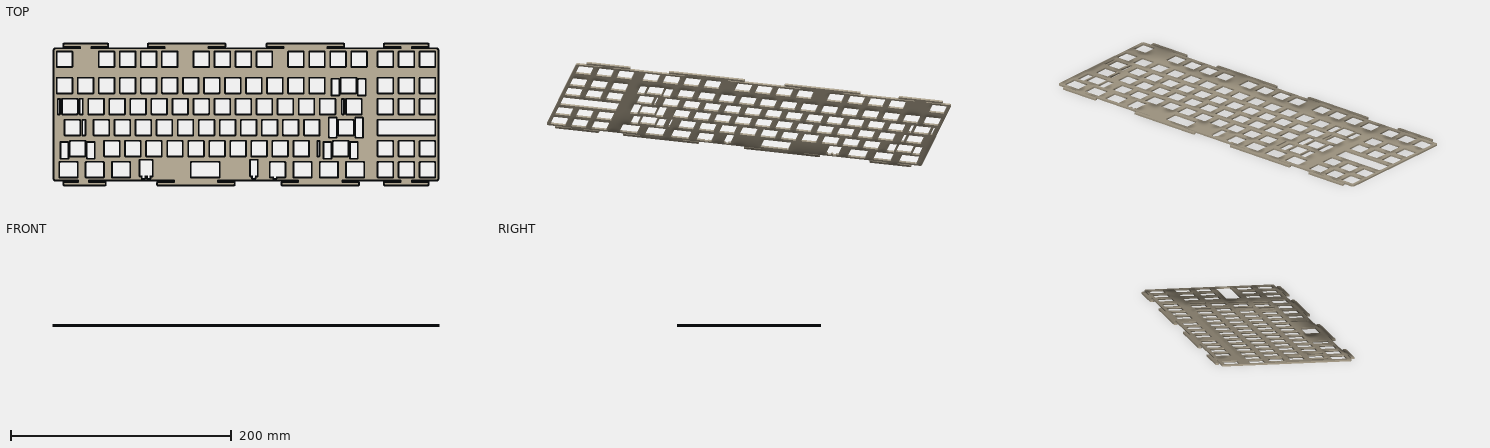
import cadquery as cq


key_unit = 19.05
plate_margin = 0.475
layout_width_units = 18.25
layout_height_units = 6.25
thickness = 1.56
overall_depth = 128.71
plate_width = layout_width_units * key_unit + 2 * plate_margin
plate_depth = layout_height_units * key_unit + 2 * plate_margin
plate_corner_radius = 2.0

key_opening = 14.0
opening_corner_radius = 0.5

function_row = 0.5
number_row = 1.75
tab_row = 2.75
caps_row = 3.75
shift_row = 4.75
bottom_row = 5.75

navigation_keys = [15.75, 16.75, 17.75]
function_keys = [0.5] + [first + i for first in (2.5, 7.0, 11.5) for i in range(4)]
number_keys = [0.5 + i for i in range(13)]
tab_key = 0.75
letter_keys_upper = [2.0 + i for i in range(12)]
backslash_key = 14.25
caps_key = 0.875
letter_keys_middle = [2.25 + i for i in range(11)]
letter_keys_lower = [2.75 + i for i in range(10)]
backspace_key = 14.0
enter_key = 13.875
left_shift_key = 1.125
right_shift_key = 13.625

shared_bottom_keys = [
    (0.625, 0.75),
    (1.875, 2.0),
    (3.125, 3.25),
    (6.875, 7.5),
    (11.75, 11.875),
    (13.0, 13.125),
    (14.25, 14.375),
]
right_modifier_key = 10.625

stabilizer_width = 7.0
stabilizer_offset = 11.94
stabilizer_short_reach = 6.0
stabilizer_long_reach = 9.0
notch_width = 3.0
notch_reach = 8.2
short_space_key = 6.875
short_space_offset = 50.0
long_space_key = 7.5
long_space_offset = 57.15

relief_inner_offset = 9.0
narrow_relief_width = 1.75
wide_relief_width = 2.7
shift_relief_offset = -20.2

tab_gap = 1.0
tab_reach = (overall_depth - plate_depth) / 2
tab_corner_radius = 1.2
slit_length = 15.25
short_slit_length = 13.2
outer_tab_start = 8.8
outer_tab_length = 40.8
top_inner_tab_start = 85.3
bottom_inner_tab_starts = (93.7, 206.25)
inner_tab_length = 70.5
outer_tab_right_start = plate_width - outer_tab_start - outer_tab_length

top_tabs = [
    (outer_tab_start, outer_tab_length, slit_length),
    (top_inner_tab_start, inner_tab_length, slit_length),
    (plate_width - top_inner_tab_start - inner_tab_length, inner_tab_length, slit_length),
    (outer_tab_right_start, outer_tab_length, slit_length),
]
bottom_tabs = [
    (outer_tab_start, outer_tab_length - slit_length + short_slit_length, short_slit_length),
    (bottom_inner_tab_starts[0], inner_tab_length, slit_length),
    (bottom_inner_tab_starts[1], inner_tab_length, slit_length),
    (outer_tab_right_start, outer_tab_length, slit_length),
]


def column_x(units):
    """X of a point given in key units from the left of the layout."""
    return units * key_unit - layout_width_units * key_unit / 2


def row_y(units):
    """Y of a point given in key units down from the top of the layout."""
    return layout_height_units * key_unit / 2 - units * key_unit


def block(x_min, x_max, y_min, y_max, radius=0.0):
    """Plate-thick block, optionally with rounded vertical edges."""
    body = (
        cq.Workplane("XY")
        .center((x_min + x_max) / 2, (y_min + y_max) / 2)
        .rect(x_max - x_min, y_max - y_min)
        .extrude(thickness)
    )
    if radius > 0:
        body = body.edges("|Z").fillet(radius)
    return body.val()


def opening(x_min, x_max, y_min, y_max):
    return block(x_min, x_max, y_min, y_max, opening_corner_radius)


def key_cut(first_key, last_key, row):
    """Opening that spans from one key centre to another on a row."""
    half = key_opening / 2
    y = row_y(row)
    return opening(column_x(first_key) - half, column_x(last_key) + half, y - half, y + half)


def stabilizer_cut(x, row, reach_up, reach_down):
    y = row_y(row)
    half = stabilizer_width / 2
    return opening(x - half, x + half, y - reach_down, y + reach_up)


def stabilizer_pair(key, row, reach_up, reach_down):
    x = column_x(key)
    return [
        stabilizer_cut(x + side * stabilizer_offset, row, reach_up, reach_down)
        for side in (-1, 1)
    ]


def space_stabilizer(x):
    return stabilizer_cut(x, bottom_row, stabilizer_long_reach, stabilizer_short_reach)


def space_notch(x):
    """Small notch at the lower end of a spacebar stabilizer opening."""
    y = row_y(bottom_row)
    return block(x - notch_width / 2, x + notch_width / 2, y - notch_reach, y, opening_corner_radius)


def relief_cut(x_min, width, row):
    y = row_y(row)
    return block(x_min, x_min + width, y - key_opening / 2, y + key_opening / 2, opening_corner_radius)


def key_cuts():
    rows = [
        (function_row, function_keys + navigation_keys),
        (number_row, number_keys + [backspace_key] + navigation_keys),
        (tab_row, [tab_key] + letter_keys_upper + [backslash_key] + navigation_keys),
        (caps_row, [caps_key] + letter_keys_middle + [enter_key]),
        (shift_row, [left_shift_key] + letter_keys_lower + [right_shift_key] + navigation_keys),
        (bottom_row, [right_modifier_key] + navigation_keys),
    ]
    cuts = [key_cut(key, key, row) for row, keys in rows for key in keys]
    cuts += [key_cut(first, last, bottom_row) for first, last in shared_bottom_keys]
    cuts.append(key_cut(navigation_keys[0], navigation_keys[-1], caps_row))
    return cuts


def stabilizer_cuts():
    cuts = stabilizer_pair(backspace_key, number_row, stabilizer_short_reach, stabilizer_long_reach)
    cuts += stabilizer_pair(enter_key, caps_row, stabilizer_long_reach, stabilizer_long_reach)
    for key in (left_shift_key, right_shift_key):
        cuts += stabilizer_pair(key, shift_row, stabilizer_short_reach, stabilizer_long_reach)
    for x in (
        column_x(short_space_key) - short_space_offset,
        column_x(short_space_key) + short_space_offset,
        column_x(long_space_key) - long_space_offset,
    ):
        cuts += [space_stabilizer(x), space_notch(x)]
    cuts.append(space_notch(column_x(long_space_key) + long_space_offset))
    return cuts


def relief_cuts():
    left_start = -relief_inner_offset - narrow_relief_width
    return [
        relief_cut(column_x(tab_key) + left_start, narrow_relief_width, tab_row),
        relief_cut(column_x(tab_key) + relief_inner_offset, wide_relief_width, tab_row),
        relief_cut(column_x(backslash_key) + left_start, narrow_relief_width, tab_row),
        relief_cut(column_x(caps_key) + relief_inner_offset, wide_relief_width, caps_row),
        relief_cut(
            column_x(right_shift_key) + shift_relief_offset - narrow_relief_width / 2,
            narrow_relief_width,
            shift_row,
        ),
    ]


def edge_tab(start, length, left_slit_length, side):
    """Strip parallel to the plate edge, joined to it by a central neck."""
    x_min = start - plate_width / 2
    x_max = x_min + length
    edge = plate_depth / 2
    inner, outer = sorted((side * (edge + tab_gap), side * (edge + tab_reach)))
    strip = block(x_min, x_max, inner, outer, tab_corner_radius)
    neck_inner, neck_outer = sorted((side * (edge - tab_gap), side * (edge + tab_reach / 2)))
    neck = block(x_min + left_slit_length, x_max - slit_length, neck_inner, neck_outer)
    return [strip, neck]


plate = cq.Workplane(
    block(-plate_width / 2, plate_width / 2, -plate_depth / 2, plate_depth / 2, plate_corner_radius)
)
for side, tabs in ((1, top_tabs), (-1, bottom_tabs)):
    for start, length, left_slit_length in tabs:
        for piece in edge_tab(start, length, left_slit_length, side):
            plate = plate.union(piece)

cutters = key_cuts() + stabilizer_cuts() + relief_cuts()
result = cq.Workplane(plate.val().cut(*cutters))